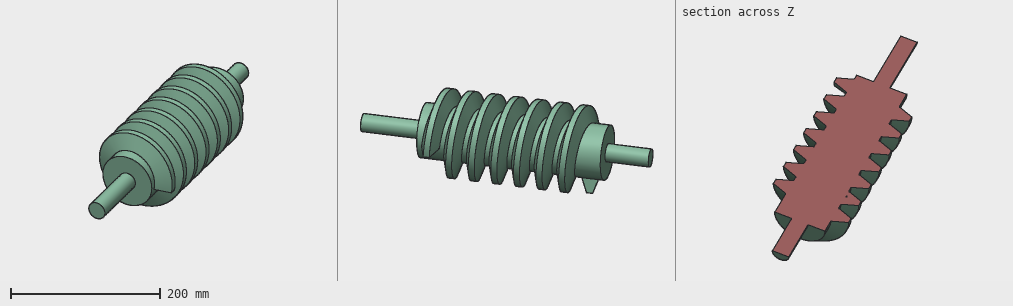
import cadquery as cq
import math

module = 10.0
diameter_quotient = 10
dedendum = 1.25 * module
pitch_diameter = diameter_quotient * module
tip_diameter = pitch_diameter + 2 * module
root_diameter = pitch_diameter - 2 * dedendum
pressure_angle = math.radians(20)
pitch = math.pi * module
turns = 6.8

total_length = 400
shaft_diameter = 25.0
front_shaft_length = 85.0
rear_shaft_length = 60
drum_length = total_length - front_shaft_length - rear_shaft_length

thread_start = 104
start_angle = 8.5
root_overlap = 1.0


def thread_half_width(radius):
    """Half the axial width of the straight-sided thread at a radius."""
    return pitch / 4 - (radius - pitch_diameter / 2) * math.tan(pressure_angle)


def make_core():
    shaft = cq.Workplane("XY").circle(shaft_diameter / 2).extrude(total_length)
    drum = (
        cq.Workplane("XY", origin=(0, 0, front_shaft_length))
        .circle(root_diameter / 2)
        .extrude(drum_length)
    )
    return shaft.union(drum)


def make_thread():
    """Single left-hand trapezoidal thread with flat radial ends."""
    inner_radius = root_diameter / 2 - root_overlap
    tip_radius = tip_diameter / 2
    inner_half = thread_half_width(inner_radius)
    tip_half = thread_half_width(tip_radius)
    path = cq.Wire.makeHelix(pitch, turns * pitch, pitch_diameter / 2, lefthand=True)
    thread = (
        cq.Workplane("XZ")
        .polyline([
            (inner_radius, -inner_half),
            (tip_radius, -tip_half),
            (tip_radius, tip_half),
            (inner_radius, inner_half),
        ])
        .close()
        .sweep(cq.Workplane(obj=path), isFrenet=True)
    )
    return thread.rotate((0, 0, 0), (0, 0, 1), start_angle).translate((0, 0, thread_start))


worm = make_core().union(make_thread())
result = worm.rotate((0, 0, 0), (1, 0, 0), -90).translate((0, -total_length / 2, 0))